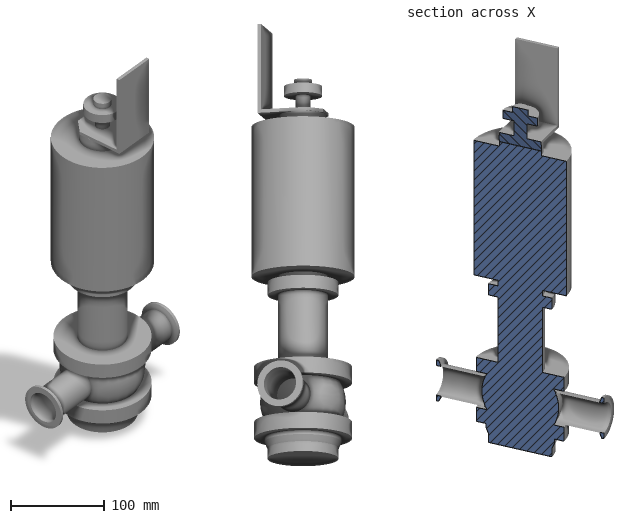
import cadquery as cq

base_top = 11.0
taper_top = 18.0
lower_flange_bottom = 22.3
flange_thickness = 17.5
chamber_height = 43.0
collar_bottom = 179.0
collar_top = 193.0
actuator_bottom = 199.5
actuator_top = 363.0

base_dia = 76.2
shoulder_dia = 82.5
flange_dia = 105.0
chamber_dia = 92.0
chamber_waist_dia = 80.0
neck_dia = 54.0
collar_dia = 76.0
actuator_dia = 111.0

port_span = 200.0
port_dia = 38.0
port_bore_dia = 35.5
ferrule_dia = 50.0
ferrule_rim = 3.5
ferrule_taper = 2.5

boss_dia = 50.5
boss_seam = 369.0
bracket_bottom = 376.0
bracket_thickness = 4.0
bracket_left = -25.0
bracket_right = 44.0
bracket_width = 50.0
bracket_chamfer = 14.0
overall_height = 473.5
stem_dia = 16.0
knob_dia = 41.0
button_dia = 19.5
knob_bottom = 397.5
knob_top = 407.5
button_top = 415.0

chamber_bottom = lower_flange_bottom + flange_thickness
chamber_top = chamber_bottom + chamber_height
chamber_center = (chamber_bottom + chamber_top) / 2
upper_flange_top = chamber_top + flange_thickness
bracket_top = bracket_bottom + bracket_thickness


def disc(diameter, bottom, top):
    """Upright cylinder on the Z axis."""
    return cq.Workplane("XY").workplane(offset=bottom).circle(diameter / 2).extrude(top - bottom)


def make_base():
    """Stepped foot that tapers out to a short shoulder below the lower flange."""
    base_radius = base_dia / 2
    shoulder_radius = shoulder_dia / 2
    return (
        cq.Workplane("XZ")
        .moveTo(0, 0)
        .lineTo(base_radius, 0)
        .lineTo(base_radius, base_top)
        .lineTo(shoulder_radius, taper_top)
        .lineTo(shoulder_radius, lower_flange_bottom)
        .lineTo(0, lower_flange_bottom)
        .close()
        .revolve(360, (0, 0, 0), (0, 1, 0))
    )


def make_chamber():
    """Barrel-shaped chamber with a rounded side between the two flanges."""
    radius = chamber_dia / 2
    waist = chamber_waist_dia / 2
    return (
        cq.Workplane("XZ")
        .moveTo(0, chamber_bottom)
        .lineTo(waist, chamber_bottom)
        .threePointArc((radius, chamber_center), (waist, chamber_top))
        .lineTo(0, chamber_top)
        .close()
        .revolve(360, (0, 0, 0), (0, 1, 0))
    )


def make_port(side, chamber):
    """Thin tube with a clamp ferrule, open down to the chamber surface."""
    end = port_span / 2
    rim_back = end - ferrule_rim
    taper_back = rim_back - ferrule_taper
    bore_radius = port_bore_dia / 2
    tube_radius = port_dia / 2
    ferrule_radius = ferrule_dia / 2
    tube = (
        cq.Workplane("XY")
        .moveTo(bore_radius, 0)
        .lineTo(tube_radius, 0)
        .lineTo(tube_radius, taper_back)
        .lineTo(ferrule_radius, rim_back)
        .lineTo(ferrule_radius, end)
        .lineTo(bore_radius, end)
        .close()
        .revolve(360, (0, 0, 0), (0, 1, 0))
    )
    if side < 0:
        tube = tube.mirror("XZ")
    return tube.translate((0, 0, chamber_center)).cut(chamber)


def make_valve():
    """Base, chamber with ports, neck, actuator and lower half of the boss."""
    chamber = make_chamber()
    valve = make_base().union(disc(flange_dia, lower_flange_bottom, chamber_bottom))
    valve = valve.union(chamber)
    for side in (-1, 1):
        valve = valve.union(make_port(side, chamber))
    valve = valve.union(disc(flange_dia, chamber_top, upper_flange_top))
    valve = valve.union(disc(neck_dia, upper_flange_top, actuator_bottom))
    valve = valve.union(disc(collar_dia, collar_bottom, collar_top))
    valve = valve.union(disc(actuator_dia, actuator_bottom, actuator_top))
    return valve.union(disc(boss_dia, actuator_top, boss_seam))


def make_bracket():
    """L-shaped sheet with two clipped corners on its horizontal leg."""
    length = bracket_right - bracket_left
    middle = (bracket_left + bracket_right) / 2
    foot = (
        cq.Workplane("XY")
        .box(length, bracket_width, bracket_thickness, centered=(True, True, False))
        .edges("|Z and <X")
        .chamfer(bracket_chamfer)
        .translate((middle, 0, bracket_bottom))
    )
    blade = (
        cq.Workplane("XY")
        .box(bracket_thickness, bracket_width, overall_height - bracket_bottom, centered=(True, True, False))
        .translate((bracket_right - bracket_thickness / 2, 0, bracket_bottom))
    )
    return foot.union(blade)


def make_indicator():
    """Upper half of the boss carrying the bracket, stem and knob."""
    indicator = disc(boss_dia, boss_seam, bracket_bottom).union(make_bracket())
    indicator = indicator.union(disc(stem_dia, bracket_top, knob_bottom))
    indicator = indicator.union(disc(knob_dia, knob_bottom, knob_top))
    return indicator.union(disc(button_dia, knob_top, button_top))


valve = make_valve()
indicator = make_indicator()
result = cq.Compound.makeCompound([valve.val(), indicator.val()])